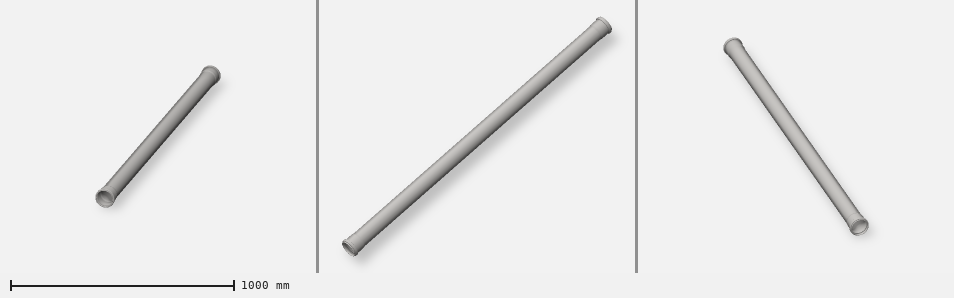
import cadquery as cq
import math


total_length = 1630.0
pipe_outer_diameter = 75.3
pipe_bore_diameter = 70.9

wall = 2.0
lip_bore_diameter = 76.0
sleeve_bore_diameter = 76.3
socket_depth = 60.0
neck_length = 8.0

groove_diameter = 85.2
bead_start = 5.0
bead_width = 13.5
bead_corner_radius = 3.0

bead_end = bead_start + bead_width
neck_end = socket_depth + neck_length
mouth_y = -total_length / 2


def revolved_half(lip_radius, sleeve_radius, bead_radius, pipe_radius, bead_inset):
    """Solid of revolution about Y, from the mouth at -Y to mid-length at Y = 0.

    bead_inset moves both bead flanks inwards and tightens the bead corners.
    """
    front = mouth_y + bead_start + bead_inset
    rear = mouth_y + bead_end - bead_inset
    corner = bead_corner_radius - bead_inset
    arc_offset = corner * (1 - math.sqrt(0.5))
    flank_radius = bead_radius - corner
    mid_arc_radius = bead_radius - arc_offset

    section = (
        cq.Workplane("XY")
        .moveTo(0, mouth_y)
        .lineTo(lip_radius, mouth_y)
        .lineTo(lip_radius, front)
        .lineTo(flank_radius, front)
        .threePointArc((mid_arc_radius, front + arc_offset), (bead_radius, front + corner))
        .lineTo(bead_radius, rear - corner)
        .threePointArc((mid_arc_radius, rear - arc_offset), (flank_radius, rear))
        .lineTo(sleeve_radius, rear)
        .lineTo(sleeve_radius, mouth_y + socket_depth)
        .lineTo(pipe_radius, mouth_y + neck_end)
        .lineTo(pipe_radius, 0)
        .lineTo(0, 0)
        .close()
    )
    return section.revolve(360, (0, 0, 0), (0, 1, 0))


def make_half_pipe():
    """Half of the pipe with one socket, hollowed to its wall thickness."""
    lip_radius = lip_bore_diameter / 2
    sleeve_radius = sleeve_bore_diameter / 2
    groove_radius = groove_diameter / 2
    body = revolved_half(
        lip_radius + wall,
        sleeve_radius + wall,
        groove_radius + wall,
        pipe_outer_diameter / 2,
        bead_inset=0,
    )
    bore = revolved_half(
        lip_radius,
        sleeve_radius,
        groove_radius,
        pipe_bore_diameter / 2,
        bead_inset=wall,
    )
    return body.cut(bore)


half_pipe = make_half_pipe()
result = half_pipe.union(half_pipe.mirror("XZ"), clean=True)